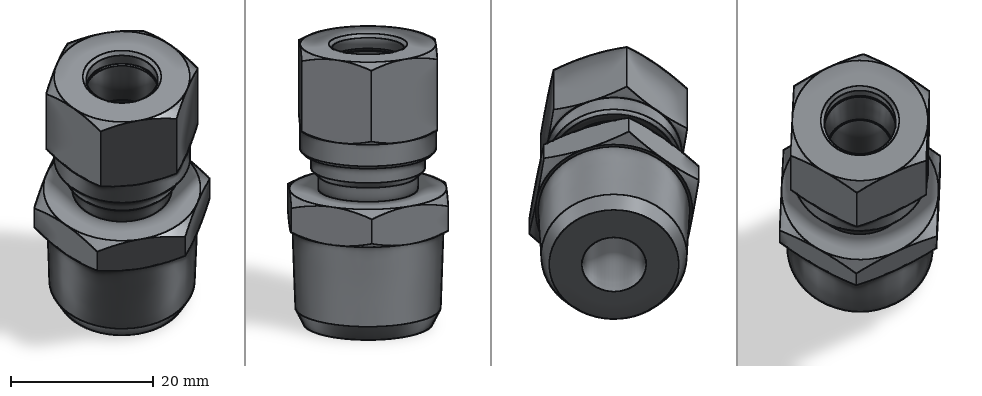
import cadquery as cq
import math


total_height = 40.5
thread_length = 14.0
body_hex_height = 5.5
neck_length = 2.02
nut_height = 15.6
nut_hex_height = 12.0
ferrule_length = 6.08
nut_lip_height = 2.02
ferrule_gap = 0.4

body_hex_top = thread_length + body_hex_height
neck_top = body_hex_top + neck_length
nut_bottom = total_height - nut_height
nut_hex_bottom = total_height - nut_hex_height
lip_bottom = total_height - nut_lip_height
ferrule_top = lip_bottom - ferrule_gap
stud_top = ferrule_top - ferrule_length

body_hex_flats = 22.0
nut_hex_flats = 19.0
hex_bevel_angle = 30.0

thread_top_diameter = 21.22
thread_bottom_diameter = 20.4
thread_tip_diameter = 18.15
thread_tip_height = 2.25

stud_diameter = 16.0
neck_diameter = 14.0
neck_taper_height = (stud_diameter - neck_diameter) / 2
stud_taper_end = neck_top + neck_taper_height
body_bore_diameter = 9.0

nut_collar_diameter = 19.1
nut_collar_chamfer = 0.5
tube_hole_diameter = 10.0
tube_hole_chamfer = 0.5

ferrule_diameter = 14.0
ferrule_bore_top_diameter = tube_hole_diameter
ferrule_bore_bottom_diameter = 9.3

press_cone_bottom = lip_bottom - (ferrule_diameter - tube_hole_diameter) / 2
ferrule_top_diameter = tube_hole_diameter + 2 * ferrule_gap


def revolved(profile):
    """Revolve a closed outline of (radius, z) points about the Z axis."""
    return cq.Workplane("XZ").polyline(profile).close().revolve(360, (0, 0), (0, 1))


def cylinder(diameter, bottom, top):
    return cq.Workplane("XY").workplane(offset=bottom).circle(diameter / 2).extrude(top - bottom)


def beveled_hexagon(flats, bottom, top):
    """Hexagon with corners on X, its corners beveled by cones at both ends."""
    flat_radius = flats / 2
    corner_radius = flat_radius / math.cos(math.pi / 6)
    bevel_drop = (corner_radius - flat_radius) * math.tan(math.radians(hex_bevel_angle))
    prism = (
        cq.Workplane("XY")
        .workplane(offset=bottom)
        .polygon(6, 2 * corner_radius)
        .extrude(top - bottom)
    )
    envelope = revolved([
        (0, bottom),
        (flat_radius, bottom),
        (corner_radius, bottom + bevel_drop),
        (corner_radius, top - bevel_drop),
        (flat_radius, top),
        (0, top),
    ])
    return prism.intersect(envelope)


def make_body():
    thread = revolved([
        (0, 0),
        (thread_tip_diameter / 2, 0),
        (thread_bottom_diameter / 2, thread_tip_height),
        (thread_top_diameter / 2, thread_length),
        (0, thread_length),
    ])
    stud = revolved([
        (0, body_hex_top),
        (neck_diameter / 2, body_hex_top),
        (neck_diameter / 2, neck_top),
        (stud_diameter / 2, stud_taper_end),
        (stud_diameter / 2, stud_top),
        (0, stud_top),
    ])
    hexagon = beveled_hexagon(body_hex_flats, thread_length, body_hex_top)
    bore = cylinder(body_bore_diameter, 0, stud_top)
    return thread.union(hexagon).union(stud).cut(bore)


def make_nut():
    collar = cylinder(nut_collar_diameter, nut_bottom, nut_hex_bottom)
    collar = collar.faces("<Z").chamfer(nut_collar_chamfer)
    hexagon = beveled_hexagon(nut_hex_flats, nut_hex_bottom, total_height)
    stud_hole = cylinder(stud_diameter, nut_bottom, stud_top)
    ferrule_recess = revolved([
        (0, stud_top),
        (ferrule_diameter / 2, stud_top),
        (ferrule_diameter / 2, press_cone_bottom),
        (tube_hole_diameter / 2, lip_bottom),
        (0, lip_bottom),
    ])
    tube_hole = revolved([
        (0, lip_bottom),
        (tube_hole_diameter / 2, lip_bottom),
        (tube_hole_diameter / 2, total_height - tube_hole_chamfer),
        (tube_hole_diameter / 2 + tube_hole_chamfer, total_height),
        (0, total_height),
    ])
    return collar.union(hexagon).cut(stud_hole).cut(ferrule_recess).cut(tube_hole)


def make_ferrule():
    """Ring with a coned shoulder and a bore that narrows toward the stud."""
    return revolved([
        (ferrule_bore_bottom_diameter / 2, stud_top),
        (ferrule_diameter / 2, stud_top),
        (ferrule_diameter / 2, press_cone_bottom),
        (ferrule_top_diameter / 2, ferrule_top),
        (ferrule_bore_top_diameter / 2, ferrule_top),
    ])


body = make_body()
nut = make_nut()
ferrule = make_ferrule()

result = cq.Compound.makeCompound([body.val(), nut.val(), ferrule.val()])